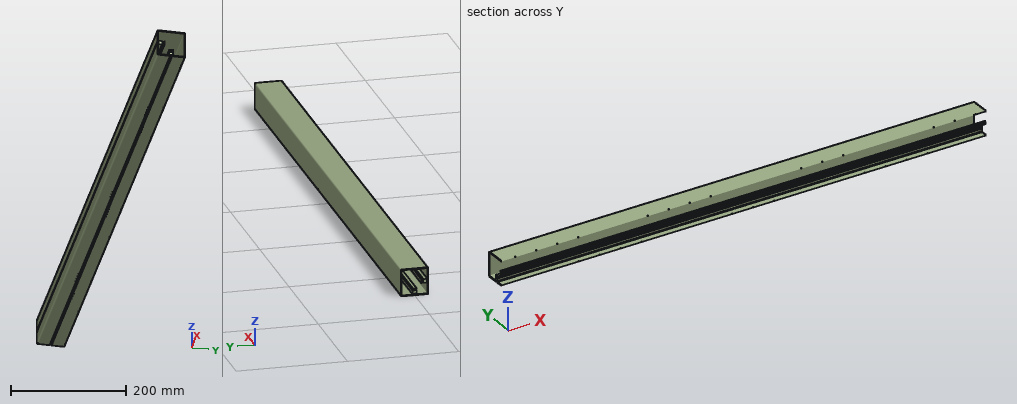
import cadquery as cq

length = 1000.0
side = 50.0
wall = 2.0
corner_radius = 3.0
bore_radius = corner_radius - wall

groove_width = 3.0
groove_depth = 3.0

block_width = groove_width + 2 * wall
block_top = 9.0
neck_width = 3.0
neck_top = 11.0
head_width = block_width
head_top = 13.0

half_side = side / 2
rail_base = wall / 2


def bar(width, bottom, top):
    """Full-length bar of the given width between two heights above the -Z outer face."""
    height = top - bottom
    middle = -half_side + (bottom + top) / 2
    return cq.Workplane("XY").box(length, width, height).translate((0, 0, middle))


def rounded_bar(width, radius):
    """Full-length square bar with rounded long edges."""
    return cq.Workplane("XY").box(length, width, width).edges("|X").fillet(radius)


def hollow_tube():
    """Square tube of even wall thickness, rounded at its corners."""
    bore_side = side - 2 * wall
    return rounded_bar(side, corner_radius).cut(rounded_bar(bore_side, bore_radius))


def flared_head():
    """Head that widens from the top of the neck to a flat top."""
    bottom = neck_top - half_side
    top = head_top - half_side
    outline = [
        (-neck_width / 2, bottom),
        (neck_width / 2, bottom),
        (head_width / 2, top),
        (-head_width / 2, top),
    ]
    return cq.Workplane("YZ").polyline(outline).close().extrude(length / 2, both=True)


def rail():
    """Block, narrow neck and flared head standing on the -Z wall."""
    block = bar(block_width, rail_base, block_top)
    neck = bar(neck_width, rail_base, neck_top)
    return block.union(neck).union(flared_head())


def on_front_wall(shape):
    """Turn a shape from the -Z wall about the X axis onto the -Y wall."""
    return shape.rotate((0, 0, 0), (1, 0, 0), -90)


bottom_rail = rail()
bottom_groove = bar(groove_width, 0, groove_depth)

result = hollow_tube()
result = result.union(bottom_rail).union(on_front_wall(bottom_rail))
result = result.cut(bottom_groove).cut(on_front_wall(bottom_groove))